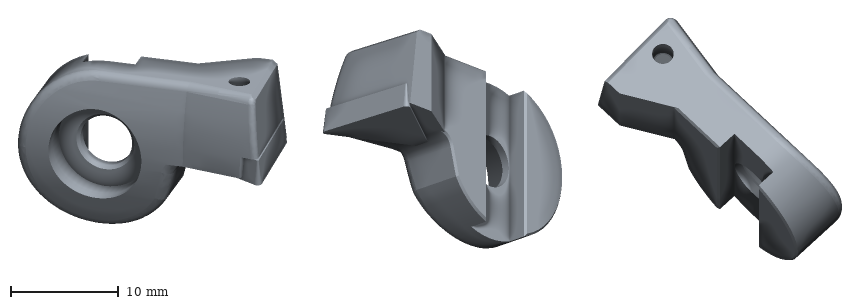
import cadquery as cq
import math


hub_radius = 7.7
front_y = -6.56
dome_radius = 20.0
rim_fillet = 1.0
bend_x = 8.5
bend_angle = 10.0
arm_reach = 18.0
neck_angle = 15.0
neck_top_x = 7.68
neck_fillet = 1.5
back_chamfer = 0.2

flare_start_x = 8.4
flare_y = 2.62
flare_angle = 30.0

bore_diameter = 5.0
bore_chamfer = 0.3
counterbore_diameter = 9.0
counterbore_floor_y = -3.2
slot_width = 5.12
slot_depth = 2.08

relief_angle = 7.0
end_skew = 2.85
end_x = 14.9
end_chamfer_width = 0.45
end_chamfer_height = 0.37
end_fillet = 0.5

insert_x = 13.08
insert_y = -3.02
inscribed_radius = 3.175
insert_thickness = 2.38
insert_bottom_z = -0.25
nose_radius = 0.4
notch_start = 3.17
notch_size = 4.0

pin_x = 12.92
pin_y = insert_y
pin_diameter = 2.0
pin_chamfer = 0.2
pin_length = 6.0

rim_limit_y = -4.0
tolerance = 0.01
overshoot = 1.0
trim_size = 40.0
margin = 5.0


def tan_deg(angle):
    return math.tan(math.radians(angle))


def arch_prism(start_x, length, lean):
    """Everything behind the domed front, from start_x on, drifting to -Y at the lean angle."""
    half = hub_radius + overshoot
    edge_y = front_y + dome_radius - math.sqrt(dome_radius**2 - half**2)
    back_y = flare_y + margin
    section = (
        cq.Workplane("YZ", origin=(start_x, 0, 0))
        .moveTo(back_y, -half)
        .lineTo(edge_y, -half)
        .threePointArc((front_y, 0), (edge_y, half))
        .lineTo(back_y, half)
        .close()
    )
    drift = cq.Vector(length, -length * tan_deg(lean), 0)
    return cq.Workplane(cq.Solid.extrudeLinear(section.val(), [], drift))


def straight_arch(end):
    start_x = -hub_radius - overshoot
    return arch_prism(start_x, end - start_x, 0)


def raise_outline(outline):
    """Extrude an XZ outline from the back plane forward past the dome."""
    return outline.close().extrude(-front_y + margin)


def rim_edges(body, skip_base=False):
    """Edges that run around the domed front, without its end and, if asked, its Z = 0 base."""
    rim = []
    for edge in body.edges().vals():
        box = edge.BoundingBox()
        on_front = box.ymax < rim_limit_y
        crosses = box.xlen < tolerance
        on_base = max(abs(box.zmin), abs(box.zmax)) < tolerance
        if on_front and not crosses and not (skip_base and on_base):
            rim.append(edge)
    return body.newObject(rim)


def make_upper_half():
    """Upper quarter of the hub with the arm, down to a crisp edge at Z = 0."""
    outline = (
        cq.Workplane("XZ")
        .moveTo(-hub_radius, 0)
        .radiusArc((0, hub_radius), hub_radius)
        .lineTo(arm_reach, hub_radius)
        .lineTo(arm_reach, 0)
    )
    straight = straight_arch(bend_x)
    leaning = arch_prism(bend_x, arm_reach - bend_x, bend_angle)
    upper = raise_outline(outline).intersect(straight.union(leaning))
    return rim_edges(upper, skip_base=True).fillet(rim_fillet)


def make_lower_half():
    """Lower part of the hub, its rim rounded around the neck and cut off at Z = 0."""
    lean = math.radians(neck_angle)
    along = neck_top_x * math.sin(lean)
    flank_length = along + math.sqrt(along**2 - neck_top_x**2 + hub_radius**2)
    corner = (neck_top_x - flank_length * math.sin(lean), -flank_length * math.cos(lean))
    tangent = neck_fillet / tan_deg((90 + neck_angle) / 2)
    flank_end = (neck_top_x - tangent * math.sin(lean), -tangent * math.cos(lean))
    base_start = neck_top_x + tangent
    root_x = base_start + overshoot
    outline = (
        cq.Workplane("XZ")
        .moveTo(root_x, 0)
        .lineTo(root_x, hub_radius)
        .lineTo(0, hub_radius)
        .threePointArc((-hub_radius, 0), corner)
        .lineTo(*flank_end)
        .radiusArc((base_start, 0), neck_fillet)
    )
    hub = raise_outline(outline).intersect(straight_arch(root_x))
    hub = rim_edges(hub).fillet(rim_fillet)
    upper_space = cq.Workplane("XY").box(
        trim_size, trim_size, trim_size, centered=(True, True, False)
    )
    return hub.cut(upper_space)


def cut_back_slot(body):
    """Slot across the back of the hub, then a chamfer around all back edges."""
    slot = cq.Workplane("XY").box(slot_width, 2 * slot_depth, 4 * hub_radius)
    return body.cut(slot).faces(">Y").edges().chamfer(back_chamfer)


def make_flare():
    """Wedge that widens the arm behind the back plane."""
    rise = tan_deg(flare_angle)
    return (
        cq.Workplane("XY")
        .moveTo(flare_start_x - back_chamfer / rise, -back_chamfer)
        .lineTo(flare_start_x + flare_y / rise, flare_y)
        .lineTo(arm_reach, flare_y)
        .lineTo(arm_reach, -back_chamfer)
        .close()
        .extrude(hub_radius)
    )


def end_trim(x, z, lean):
    """Block beyond a skewed plane through (x, flare_y, z), leaning to -X going up."""
    return (
        cq.Workplane("XY")
        .box(trim_size, trim_size, trim_size, centered=(False, True, True))
        .rotate((0, 0, 0), (0, 1, 0), -lean)
        .rotate((0, 0, 0), (0, 0, 1), end_skew)
        .translate((x, flare_y, z))
    )


def trim_end(body):
    """Cut the leaning end face, round its front edge and chamfer its top."""
    shoulder_z = hub_radius - end_chamfer_height
    chamfer_lean = math.degrees(math.atan(end_chamfer_width / end_chamfer_height))
    body = body.cut(end_trim(end_x, shoulder_z, relief_angle))
    body = body.faces(">X").edges("<Y").fillet(end_fillet)
    return body.cut(end_trim(end_x - end_chamfer_width, hub_radius, chamfer_lean))


def bore_tool():
    """Through bore with a chamfered mouth at the counterbore floor."""
    bore = bore_diameter / 2
    return (
        cq.Workplane("XY")
        .moveTo(0, margin)
        .lineTo(bore, margin)
        .lineTo(bore, counterbore_floor_y + bore_chamfer)
        .lineTo(bore + bore_chamfer, counterbore_floor_y)
        .lineTo(counterbore_diameter / 2, counterbore_floor_y)
        .lineTo(counterbore_diameter / 2, front_y - margin)
        .lineTo(0, front_y - margin)
        .close()
        .revolve(360, (0, 0, 0), (0, 1, 0))
    )


def insert_blank(corner_radius):
    """Triangular plate, widest at its bottom, with one edge along the end of the arm."""
    core_radius = inscribed_radius - corner_radius
    outline = cq.Workplane("XY").polygon(3, 4 * core_radius)
    if corner_radius > 0:
        outline = outline.offset2D(corner_radius)
    return (
        outline.extrude(insert_thickness, taper=relief_angle)
        .rotate((0, 0, 0), (0, 0, 1), 180 + end_skew)
        .translate((insert_x, insert_y, insert_bottom_z))
    )


def notch_tool():
    """Clearance beside the cutting nose, with its wall square to the front flank of the insert."""
    flank_turn = 30.0
    return (
        cq.Workplane("XY")
        .box(notch_size, 2 * notch_size, insert_thickness, centered=(False, False, False))
        .translate((notch_start, -inscribed_radius - notch_size, 0))
        .rotate((0, 0, 0), (0, 0, 1), end_skew - flank_turn)
        .translate((insert_x, insert_y, insert_bottom_z))
    )


def make_pin():
    return (
        cq.Workplane("XY", origin=(pin_x, pin_y, insert_bottom_z))
        .circle(pin_diameter / 2)
        .extrude(pin_length)
        .faces(">Z")
        .chamfer(pin_chamfer)
    )


def pin_hole():
    """Hole that runs from the bottom of the insert out through the top of the arm."""
    return (
        cq.Workplane("XY", origin=(pin_x, pin_y, insert_bottom_z))
        .circle(pin_diameter / 2)
        .extrude(hub_radius - insert_bottom_z + margin)
    )


def make_insert():
    return insert_blank(nose_radius).cut(pin_hole())


def make_holder():
    holder = make_upper_half().union(make_lower_half())
    holder = cut_back_slot(holder)
    holder = holder.union(make_flare())
    holder = trim_end(holder)
    holder = holder.cut(bore_tool())
    holder = holder.cut(insert_blank(0)).cut(notch_tool())
    return holder.cut(pin_hole())


holder = make_holder()
insert = make_insert()
pin = make_pin()

result = cq.Compound.makeCompound([holder.val(), insert.val(), pin.val()])